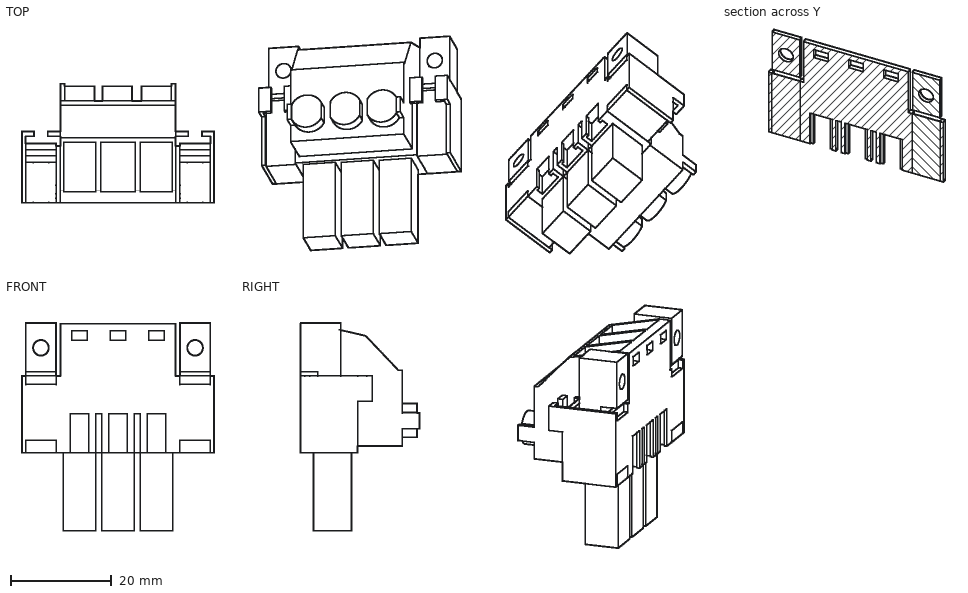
import cadquery as cq


pitch = 7.62
poles = 3

frame_width = (poles + 2) * pitch
frame_height = 15.25
frame_depth = 11.33
block_width = poles * pitch
block_height = 25.6
block_depth = 20.22
block_bottom = 1.3
block_back_height = 16.4
shoulder_y = 19.4
crest_y = 12.93
crest_z = 23.2
block_flat_depth = 2.5

tab_depth = 14.2
tab_thickness = 1.03
tab_bottom = 10.2
tab_outer_width = 2.45
tab_inner_width = 2.5

pocket_front = 2.25
pocket_back = 12.05
pocket_floor = 13.6
middle_pocket_width = 6.8
side_pocket_inner = 4.37
side_pocket_outer = 10.73

window_width = 3.1
window_height = 1.9
window_bottom = 22.3
window_depth = 1.25
slot_height = 7.77
wide_slot_width = 3.65
wide_slot_lip = 0.6
wide_slot_undercut = 0.6
wide_slot_depth = 1.9

prong_gap = 1.15
prong_width = pitch - prong_gap
prong_front = 2.6
prong_length = 15.45
first_prong_back = 9.62
prong_back_step = 0.28

stop_back = 23.64
stop_width = 0.87
stop_height = 3.17
stop_middle_z = 6.33

screw_diameter = 6.75
screw_flat_width = 5.9
screw_back = 23.15
screw_z = 6.42
side_screw_x = 7.6
middle_screw_x = -0.15

lever_x = 15.27
lever_width = 6.03
lever_front = 0.08
lever_back = 8.02
lever_top = 25.75
lever_head_bottom = 16.1
lever_trunk_front = 3.48
lever_hole_diameter = 3.05
lever_hole_z = 20.8
front_leg_thickness = 0.95
hook_front = 9.35
hook_back = 10.5
hook_top = 15.1
catch_back = 11.8
catch_drop = 1.4
lever_base_height = 2.45
bay_front_wall = 0.9
bay_opening_bottom = 13.57


def box(x_min, x_max, y_min, y_max, z_min, z_max):
    """Box between two opposite corners."""
    size = (x_max - x_min, y_max - y_min, z_max - z_min)
    return cq.Workplane("XY").box(*size, centered=False).translate((x_min, y_min, z_min))


def centred_box(x_middle, width, y_min, y_max, z_min, z_max):
    """Box centred on x_middle."""
    return box(x_middle - width / 2, x_middle + width / 2, y_min, y_max, z_min, z_max)


def extruded_profile(points, x_middle, width):
    """Y-Z outline extruded along X and centred on x_middle."""
    profile = cq.Workplane("YZ").polyline(points).close()
    return profile.extrude(width / 2, both=True).translate((x_middle, 0, 0))


def both_ends(solid):
    """A shape on the -X side and its mirror image on the +X side."""
    return solid.union(solid.mirror("YZ"))


pole_xs = [(i - (poles - 1) / 2) * pitch for i in range(poles)]
gap_xs = [x + pitch / 2 for x in pole_xs[:-1]]


def housing_shell():
    """Frame and sloped terminal block with the lever tabs and screw stops."""
    block_outline = [
        (0, 0),
        (frame_depth, 0),
        (frame_depth, block_bottom),
        (block_depth, block_bottom),
        (block_depth, block_back_height),
        (shoulder_y, block_back_height),
        (crest_y, crest_z),
        (block_flat_depth, block_height),
        (0, block_height),
    ]
    block = extruded_profile(block_outline, 0, block_width)
    frame = centred_box(0, frame_width, 0, frame_depth, 0, frame_height)

    frame_left = -frame_width / 2
    block_left = -block_width / 2
    bay_left = -lever_x - lever_width / 2
    tab_front = tab_depth - tab_thickness
    tab_outer_end = frame_left + tab_outer_width
    outer_tab = box(frame_left, tab_outer_end, tab_front, tab_depth, tab_bottom, frame_height)
    outer_wall = box(frame_left, bay_left, 0, tab_depth, tab_bottom, frame_height)
    tab_inner_end = block_left - tab_inner_width
    inner_tab = box(tab_inner_end, block_left, tab_front, tab_depth, tab_bottom, frame_height)

    stop_bottom = stop_middle_z - stop_height / 2
    stop_top = stop_middle_z + stop_height / 2
    stop = box(block_left, block_left + stop_width, block_depth, stop_back, stop_bottom, stop_top)
    end_details = outer_tab.union(outer_wall).union(inner_tab).union(stop)
    return block.union(frame).union(both_ends(end_details))


def lever_bay():
    """Space for one lever, with its openings at the top and bottom of the front wall."""
    bay = centred_box(-lever_x, lever_width, bay_front_wall, frame_depth, 0, frame_height)
    opening = centred_box(-lever_x, lever_width, 0, bay_front_wall, bay_opening_bottom, frame_height)
    foot_opening = centred_box(-lever_x, lever_width, 0, bay_front_wall, 0, lever_base_height)
    return bay.union(opening).union(foot_opening)


def wire_pockets():
    """Middle pocket and the two side pockets, open at the block top."""
    depth_range = (pocket_front, pocket_back, pocket_floor, block_height)
    middle = centred_box(0, middle_pocket_width, *depth_range)
    side = box(-side_pocket_outer, -side_pocket_inner, *depth_range)
    return middle.union(both_ends(side))


def wide_slot(x):
    """Slot through a thin front lip into a wider groove behind it."""
    lip_cut = centred_box(x, wide_slot_width, 0, wide_slot_lip, 0, slot_height)
    groove_width = wide_slot_width + 2 * wide_slot_undercut
    groove = centred_box(x, groove_width, wide_slot_lip, wide_slot_depth, 0, slot_height)
    return lip_cut.union(groove)


def make_housing():
    """Housing whose plug prongs grow slightly deeper from one pole to the next."""
    body = housing_shell().cut(both_ends(lever_bay())).cut(wire_pockets())
    window_top = window_bottom + window_height
    for i, x in enumerate(pole_xs):
        body = body.cut(centred_box(x, window_width, 0, window_depth, window_bottom, window_top))
        body = body.cut(wide_slot(x))
        prong_back = first_prong_back + i * prong_back_step
        body = body.union(centred_box(x, prong_width, prong_front, prong_back, -prong_length, 0))
    for x in gap_xs:
        body = body.cut(centred_box(x, prong_gap, 0, prong_front, 0, slot_height))
    return body


def make_lever(x):
    """Lever with a drilled head, a front leg and a rear hook rising from a common base."""
    front_leg_back = bay_front_wall + front_leg_thickness
    outline = [
        (0, 0),
        (hook_back, 0),
        (hook_back, hook_top - catch_drop),
        (catch_back, hook_top - catch_drop),
        (hook_back, hook_top),
        (hook_front, hook_top),
        (hook_front, lever_base_height),
        (lever_back, lever_base_height),
        (lever_back, lever_top),
        (lever_front, lever_top),
        (lever_front, lever_head_bottom),
        (lever_trunk_front, lever_head_bottom),
        (lever_trunk_front, lever_base_height),
        (front_leg_back, lever_base_height),
        (front_leg_back, frame_height),
        (bay_front_wall, frame_height),
        (bay_front_wall, lever_base_height),
        (0, lever_base_height),
    ]
    hole = cq.Workplane("XZ").center(x, lever_hole_z).circle(lever_hole_diameter / 2).extrude(-lever_back)
    return extruded_profile(outline, x, lever_width).cut(hole)


def make_screw(x):
    """Round screw head with two side flats, standing on the back face of the terminal block."""
    head = cq.Workplane("XZ").center(x, screw_z).circle(screw_diameter / 2)
    head = head.extrude(block_depth - screw_back).translate((0, block_depth, 0))
    screw_bottom = screw_z - screw_diameter / 2
    screw_top = screw_z + screw_diameter / 2
    between_flats = centred_box(x, screw_flat_width, block_depth, screw_back, screw_bottom, screw_top)
    return head.intersect(between_flats)


housing = make_housing()
levers = [make_lever(x) for x in (-lever_x, lever_x)]
screws = [make_screw(x) for x in (-side_screw_x, middle_screw_x, side_screw_x)]

bodies = [housing, *levers, *screws]
result = cq.Compound.makeCompound([body.val() for body in bodies])